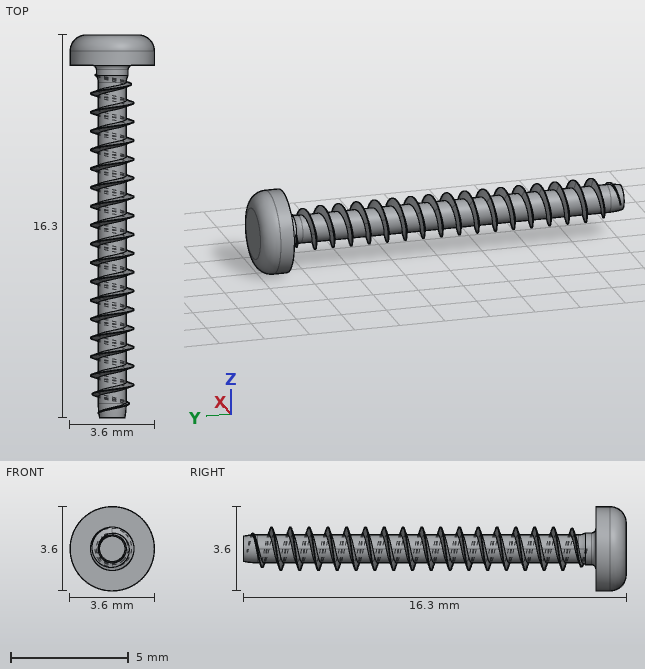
import math

import cadquery as cq

HEAD_DIAMETER = 3.6
HEAD_HEIGHT = 1.3
HEAD_ROUND = 0.7
SHANK_LENGTH = 15.0
NECK_DIAMETER = 1.36
NECK_LENGTH = 0.43
NECK_FILLET = 0.18
CORE_DIAMETER = 1.2
NECK_TAPER_LENGTH = 0.3
TIP_DIAMETER = 1.08
TIP_TAPER_LENGTH = 0.6

THREAD_DIAMETER = 1.85
THREAD_PITCH = 0.8
CREST_WIDTH = 0.03
FLANK_ANGLE = 17.0
ROOT_OVERLAP = 0.05

CREST_PHASE_Y = -1.0
RAMP_IN_START_Y = -0.40
RAMP_IN_END_Y = -1.2
RAMP_IN_DEPTH = 0.2
RAMP_OUT_START_Y = -SHANK_LENGTH + 1.2
RAMP_OUT_END_Y = -SHANK_LENGTH + 0.17
RAMP_OUT_DEPTH = 0.34
STEPS_PER_STRETCH = 20

head_radius = HEAD_DIAMETER / 2
neck_radius = NECK_DIAMETER / 2
core_radius = CORE_DIAMETER / 2
tip_radius = TIP_DIAMETER / 2
thread_radius = THREAD_DIAMETER / 2
root_radius = core_radius - ROOT_OVERLAP
thread_height = thread_radius - root_radius
root_width = CREST_WIDTH + 2 * thread_height * math.tan(math.radians(FLANK_ANGLE))


def taper_arc_radius(length, radius_change):
    """Radius of an arc that leaves the core tangentially and changes its radius over a length."""
    return (length**2 + radius_change**2) / (2 * radius_change)


def make_body():
    """Head, filleted neck and tapered core as one revolved half outline (x = radius)."""
    round_mid = HEAD_ROUND * math.sqrt(0.5)
    fillet_mid = NECK_FILLET * (1 - math.sqrt(0.5))
    neck_taper_arc = -taper_arc_radius(NECK_TAPER_LENGTH, neck_radius - core_radius)
    tip_taper_arc = taper_arc_radius(TIP_TAPER_LENGTH, core_radius - tip_radius)
    outline = (
        cq.Workplane("XY")
        .moveTo(0, HEAD_HEIGHT)
        .lineTo(head_radius - HEAD_ROUND, HEAD_HEIGHT)
        .threePointArc(
            (head_radius - HEAD_ROUND + round_mid, HEAD_HEIGHT - HEAD_ROUND + round_mid),
            (head_radius, HEAD_HEIGHT - HEAD_ROUND),
        )
        .lineTo(head_radius, 0)
        .lineTo(neck_radius + NECK_FILLET, 0)
        .threePointArc(
            (neck_radius + fillet_mid, -fillet_mid),
            (neck_radius, -NECK_FILLET),
        )
        .lineTo(neck_radius, -NECK_LENGTH)
        .radiusArc((core_radius, -NECK_LENGTH - NECK_TAPER_LENGTH), neck_taper_arc)
        .lineTo(core_radius, -SHANK_LENGTH + TIP_TAPER_LENGTH)
        .radiusArc((tip_radius, -SHANK_LENGTH), tip_taper_arc)
        .lineTo(0, -SHANK_LENGTH)
        .close()
    )
    return outline.revolve(360, (0, 0, 0), (0, 1, 0)).val()


def crest_drop(y):
    """How far the thread profile is sunk towards the axis at height y."""
    if y > RAMP_IN_END_Y:
        return RAMP_IN_DEPTH * (y - RAMP_IN_END_Y) / (RAMP_IN_START_Y - RAMP_IN_END_Y)
    if y < RAMP_OUT_START_Y:
        return RAMP_OUT_DEPTH * (RAMP_OUT_START_Y - y) / (RAMP_OUT_START_Y - RAMP_OUT_END_Y)
    return 0.0


def thread_edge(full_radius, axial_offset, start_y, end_y):
    """A helical edge of the thread between two heights, following the ramps at both ends."""
    points = []
    for step in range(STEPS_PER_STRETCH + 1):
        y = start_y + (end_y - start_y) * step / STEPS_PER_STRETCH
        angle = 2 * math.pi * (y - CREST_PHASE_Y) / THREAD_PITCH
        radius = full_radius - crest_drop(y)
        points.append(cq.Vector(radius * math.sin(angle), y + axial_offset, radius * math.cos(angle)))
    return cq.Edge.makeSpline(points)


def thread_stretch_ends():
    """Heights that split the thread into its two ramps and stretches of about one turn."""
    full_length = RAMP_IN_END_Y - RAMP_OUT_START_Y
    turns = math.ceil(full_length / THREAD_PITCH)
    full_ends = [RAMP_IN_END_Y - full_length * turn / turns for turn in range(turns + 1)]
    return [RAMP_IN_START_Y, *full_ends, RAMP_OUT_END_Y]


def end_cap(edges, position):
    """Flat face across the thread profile at the start (0) or end (1) of its edges."""
    corners = [edge.positionAt(position) for edge in edges]
    return cq.Face.makeFromWires(cq.Wire.makePolygon(corners, close=True))


def make_thread():
    """Right-hand thread ridge, bounded by ruled faces between its four helical edges."""
    profile = [
        (root_radius, root_width / 2),
        (thread_radius, CREST_WIDTH / 2),
        (thread_radius, -CREST_WIDTH / 2),
        (root_radius, -root_width / 2),
    ]
    stretch_ends = thread_stretch_ends()
    stretches = []
    faces = []
    for start_y, end_y in zip(stretch_ends, stretch_ends[1:]):
        edges = [thread_edge(radius, offset, start_y, end_y) for radius, offset in profile]
        faces += [cq.Face.makeRuledSurface(edges[i - 1], edges[i]) for i in range(len(edges))]
        stretches.append(edges)
    faces.append(end_cap(stretches[0], 0))
    faces.append(end_cap(stretches[-1], 1))
    return cq.Solid.makeSolid(cq.Shell.makeShell(faces))


result = cq.Workplane(obj=make_body().fuse(make_thread()))